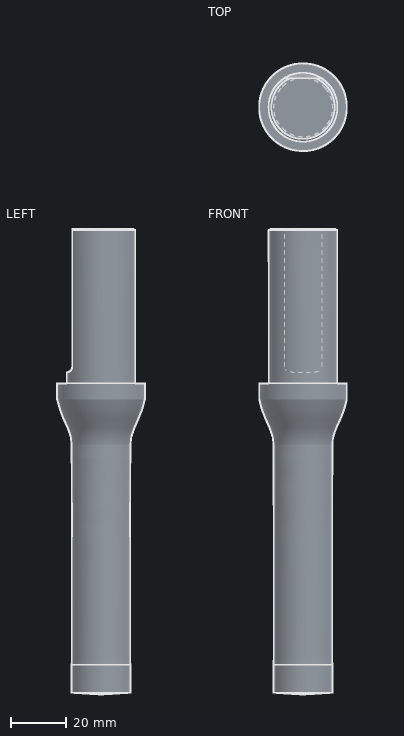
import cadquery as cq

TOTAL_LENGTH = 169.0
POINT_HEIGHT = 0.7
HEAD_TOP_Z = 10.8
FLARE_TOP_Z = 13.9
NECK_BOTTOM_Z = 54.6
BAND_BOTTOM_Z = 85.7
BAND_TOP_Z = 90.8
BELL_BOTTOM_Z = 94.0
BELL_MIDDLE_Z = 101.7
COLLAR_BOTTOM_Z = 107.1
COLLAR_TOP_Z = 112.9

HEAD_RADIUS = 21.5 / 2
BODY_RADIUS = 21.3 / 2
SHANK_RADIUS = 25.0 / 2
COLLAR_RADIUS = 32.0 / 2
BELL_BOTTOM_RADIUS = 11.2
BELL_MIDDLE_RADIUS = 14.4
BELL_TOP_DIRECTION = (0.25, 1)

CHAMFER_WIDTH = 1.0
CHAMFER_HEIGHT = 0.5

FLAT_OFFSET = 10.5
FLAT_END_Z = 117.0
FLAT_DEPTH = SHANK_RADIUS - FLAT_OFFSET
FLAT_CUT_WIDTH = 2 * SHANK_RADIUS


def make_head():
    """Tip cylinder with a very shallow conical point."""
    profile = (
        cq.Workplane("XZ")
        .lineTo(HEAD_RADIUS, POINT_HEIGHT)
        .lineTo(HEAD_RADIUS, HEAD_TOP_Z)
        .lineTo(0, HEAD_TOP_Z)
        .close()
    )
    return profile.revolve(360, (0, 0, 0), (0, 1, 0))


def make_turned_holder():
    """Body, tapered neck, bell-shaped collar and shank as one turned profile."""
    bell_points = [
        (BELL_BOTTOM_RADIUS, BELL_BOTTOM_Z),
        (BELL_MIDDLE_RADIUS, BELL_MIDDLE_Z),
        (COLLAR_RADIUS, COLLAR_BOTTOM_Z),
    ]
    profile = (
        cq.Workplane("XZ")
        .moveTo(0, HEAD_TOP_Z)
        .lineTo(HEAD_RADIUS, HEAD_TOP_Z)
        .lineTo(BODY_RADIUS, FLARE_TOP_Z)
        .lineTo(BODY_RADIUS, NECK_BOTTOM_Z)
        .lineTo(HEAD_RADIUS, BAND_BOTTOM_Z)
        .lineTo(HEAD_RADIUS, BAND_TOP_Z)
        .spline(bell_points, tangents=[(0, 1), BELL_TOP_DIRECTION], includeCurrent=True)
        .lineTo(COLLAR_RADIUS, COLLAR_TOP_Z)
        .lineTo(SHANK_RADIUS, COLLAR_TOP_Z)
        .lineTo(SHANK_RADIUS, TOTAL_LENGTH - CHAMFER_HEIGHT)
        .lineTo(SHANK_RADIUS - CHAMFER_WIDTH, TOTAL_LENGTH)
        .lineTo(0, TOTAL_LENGTH)
        .close()
    )
    return profile.revolve(360, (0, 0, 0), (0, 1, 0))


def make_flat_cutter():
    """Material removed for the clamping flat, with a rounded run-out at its lower end."""
    profile = (
        cq.Workplane("YZ")
        .moveTo(FLAT_OFFSET, TOTAL_LENGTH)
        .lineTo(FLAT_OFFSET, FLAT_END_Z + FLAT_DEPTH)
        .tangentArcPoint((SHANK_RADIUS, FLAT_END_Z), relative=False)
        .lineTo(SHANK_RADIUS, TOTAL_LENGTH)
        .close()
    )
    return profile.extrude(FLAT_CUT_WIDTH / 2, both=True)


head = make_head()
holder = make_turned_holder().cut(make_flat_cutter())

result = cq.Compound.makeCompound([head.val(), holder.val()])